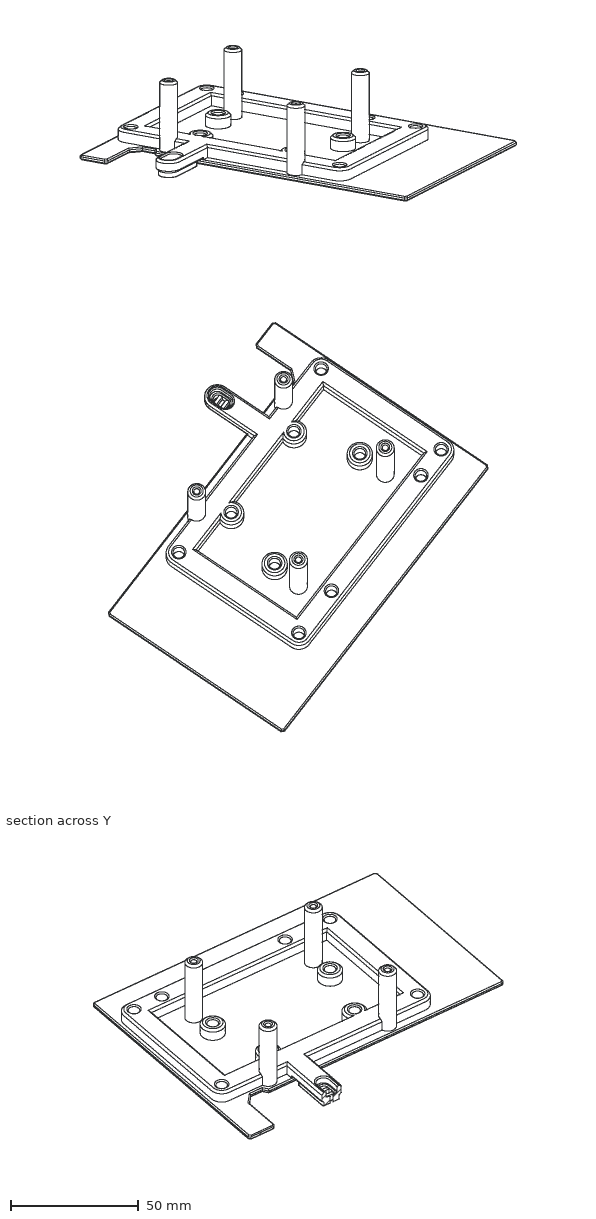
import cadquery as cq

plate_length = 138.0
plate_back = 107.5
plate_front = 22.5
plate_thickness = 2.0
plate_bevel = 0.5
plate_corner = 1.0
tab_width = 12.7
tab_front = 3.3
notch_side_start = 20.7
notch_back = 24.7
notch_left = 16.3
notch_right = 22.0
notch_end = 23.5

bevel = 1.0
frame_top = 7.0
frame_left = 2.1
frame_right = 107.2
frame_front = 26.4
frame_back = 94.3
frame_corner = 5.0
window_left = 12.0
window_right = 97.2
window_front = 36.0
window_back = 84.5

screw_hole_diameter = 4.5
hole_bevel = 0.5
extra_hole_left = 20.5
extra_hole_right = 80.5

boss_diameter = 10.0
back_boss_y = 64.5
front_boss_y = 38.1
back_boss_xs = (27.0, 84.0)
front_boss_xs = (34.6, 76.6)

post_top = 30.5
post_diameter = 7.0
post_hole_diameter = 2.3
post_hole_depth = 8.3
post_xs = (26.6, 84.7)
post_ys = (27.3, 76.5)

arm_x = 40.0
arm_width = 10.0
arm_clearance = 0.8
keel_gap = 2.6
slot_travel = 4.0
slot_throat_travel = 3.0
slot_width = 6.0
slot_ledge = 4.0
slot_throat_width = 4.0
bar_thickness = 1.4
bar_spacing = 3.3
bar_height = 3.0

arm_radius = arm_width / 2
keel_radius = arm_radius - bevel
slot_middle_y = arm_radius + slot_travel / 2

NEARLY_FULL = 0.999


def block(x_min, x_max, y_min, y_max, z_min, z_max):
    """Box given by its limits along each axis."""
    return (
        cq.Workplane("XY")
        .box(x_max - x_min, y_max - y_min, z_max - z_min, centered=False)
        .translate((x_min, y_min, z_min))
    )


def upright(points, diameter, z_min, z_max):
    """Vertical cylinders, one at each point."""
    return (
        cq.Workplane("XY")
        .workplane(offset=z_min)
        .pushPoints(points)
        .circle(diameter / 2)
        .extrude(z_max - z_min)
    )


def bevelled_holes(points, diameter, z_min, z_max):
    """Cutter for holes that widen in a bevel at the upper mouth."""
    radius = diameter / 2
    profile = [
        (0, z_min),
        (radius, z_min),
        (radius, z_max - hole_bevel),
        (radius + hole_bevel, z_max),
        (0, z_max),
    ]
    cutter = cq.Workplane("XZ").polyline(profile).close().revolve(360, (0, 0), (0, 1)).val()
    return cq.Workplane("XY").pushPoints(points).eachpoint(cutter, combine=True)


def long_slot(width, middle_y, travel, z_min, z_max):
    """Upright solid along the arm with both ends rounded; travel joins the two end centres."""
    return (
        cq.Workplane("XY", origin=(arm_x, middle_y, z_min))
        .slot2D(travel + width, width, 90)
        .extrude(z_max - z_min)
    )


def bevelled_slot(width, travel, z_min, z_max):
    """Cutter for a slot in the arm end that widens in a bevel at its upper mouth."""
    mouth = long_slot(width + 2 * hole_bevel, slot_middle_y, travel, z_max - hole_bevel, z_max)
    mouth = mouth.faces("<Z").edges().chamfer(hole_bevel * NEARLY_FULL)
    return long_slot(width, slot_middle_y, travel, z_min, z_max).union(mouth)


def make_plate():
    """Thin plate with its tab and notch, bevelled all around on both faces."""
    outline = [
        (0, tab_front),
        (tab_width, tab_front),
        (tab_width, notch_side_start),
        (notch_left, notch_back),
        (notch_right, notch_back),
        (notch_end, plate_front),
        (plate_length, plate_front),
        (plate_length, plate_back),
        (0, plate_back),
    ]
    plate = cq.Workplane("XY").polyline(outline).close().extrude(plate_thickness)
    plate = plate.edges("|Z").edges("<X or >X").chamfer(plate_corner)
    tab_corner = (tab_width, tab_front, plate_thickness / 2)
    plate = plate.edges(cq.NearestToPointSelector(tab_corner)).chamfer(plate_corner)
    return plate.faces("<Z or >Z").edges().chamfer(plate_bevel)


def make_frame():
    """Frame and arm as one raised body with a common bevelled top edge."""
    raised = block(frame_left, frame_right, frame_front, frame_back, plate_thickness, frame_top)
    raised = raised.edges("|Z").fillet(frame_corner)
    window_middle = (window_front + frame_front) / 2
    arm = block(
        arm_x - arm_radius, arm_x + arm_radius, arm_radius, window_middle, plate_thickness, frame_top
    )
    arm_end = upright([(arm_x, arm_radius)], arm_width, plate_thickness, frame_top)
    raised = raised.union(arm.union(arm_end))
    window = block(window_left, window_right, window_front, window_back, plate_thickness, frame_top)
    raised = raised.cut(window)
    return raised.faces(">Z").edges().chamfer(bevel)


def make_arm_relief():
    """Cutter that bevels the underside of the arm where it hangs past the plate."""
    start_y = plate_front + arm_clearance
    relief_top = plate_thickness + bevel
    around_arm = block(
        arm_x - arm_width, arm_x + arm_width, -arm_width, start_y, plate_thickness, relief_top
    )
    core_middle_y = arm_radius + start_y / 2
    core = long_slot(arm_width, core_middle_y, start_y, plate_thickness, relief_top)
    return around_arm.cut(core.faces("<Z").edges().chamfer(bevel * NEARLY_FULL))


def make_keel():
    """Narrower strip under the arm, standing clear of the plate."""
    keel_back = plate_front - keel_gap
    keel = block(arm_x - keel_radius, arm_x + keel_radius, arm_radius, keel_back, 0, plate_thickness)
    return keel.union(upright([(arm_x, arm_radius)], 2 * keel_radius, 0, plate_thickness))


def make_slot():
    """Cutter for the stepped slot that leaves two cross bars standing in its throat."""
    pocket = bevelled_slot(slot_width, slot_travel, slot_ledge, frame_top)
    throat = bevelled_slot(slot_throat_width, slot_throat_travel, 0, slot_ledge)
    cutter = pocket.union(throat)
    for side in (-1, 1):
        bar_y = slot_middle_y + side * bar_spacing / 2
        bar = block(
            arm_x - arm_radius,
            arm_x + arm_radius,
            bar_y - bar_thickness / 2,
            bar_y + bar_thickness / 2,
            0,
            bar_height,
        )
        cutter = cutter.cut(bar)
    return cutter


boss_points = [(x, back_boss_y) for x in back_boss_xs] + [(x, front_boss_y) for x in front_boss_xs]
post_points = [(x, y) for x in post_xs for y in post_ys]
hole_left = frame_left + frame_corner
hole_right = frame_right - frame_corner
hole_front = frame_front + frame_corner
hole_back = frame_back - frame_corner
frame_holes = [(x, y) for x in (hole_left, hole_right) for y in (hole_front, hole_back)]
frame_holes += [(x, hole_back) for x in (extra_hole_left, extra_hole_right)]

bosses = upright(boss_points, boss_diameter, plate_thickness, frame_top)
bosses = bosses.faces(">Z").edges().chamfer(bevel)
posts = upright(post_points, post_diameter, plate_thickness, post_top)
posts = posts.faces(">Z").edges().chamfer(bevel)

result = make_plate().union(make_frame().cut(make_arm_relief())).union(bosses).union(make_keel())
result = result.union(posts)
result = result.cut(
    bevelled_holes(frame_holes + boss_points, screw_hole_diameter, plate_thickness, frame_top)
)
result = result.cut(
    bevelled_holes(post_points, post_hole_diameter, post_top - post_hole_depth, post_top)
)
result = result.cut(make_slot())